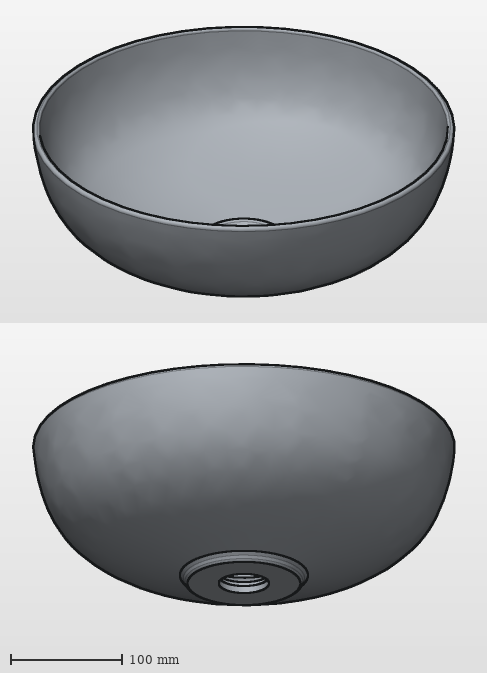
import cadquery as cq

rim_radius = 189.5
bowl_height = 136.0

rim_rounding = 3.5
rim_inner_radius = 183.5
rim_inner_rounding = 2.3

wall_foot = (181.5, 92.0)
corner_middle = (168.5, 64.5)
corner_end = (138.5, 38.0)
belly_middle = (102.7, 21.5)
belly_end = (57.5, 8.0)

foot_radius = 54.5
foot_collar_height = 5.0
foot_bottom_radius = 50.8
foot_rounding_middle = (52.0, 0.8)
foot_rounding_end = (53.0, 2.3)

inner_wall_foot = (173.0, 92.0)
inner_corner_middle = (159.5, 69.5)
inner_corner_end = (132.7, 48.5)
inner_belly_middle = (88.0, 30.5)

drain_hole_radius = 45.0 / 2
drain_entry = (38.0, 21.2)
seat_top = (35.0, 19.7)
seat_bottom = (24.3, 11.5)
drain_hole_top = 7.0

rounded_rim_height = bowl_height - rim_rounding
rim_flat_radius = rim_radius - rim_rounding


def half_section():
    """Closed radius-height outline of the basin wall."""
    outline = cq.Workplane("XZ").moveTo(drain_hole_radius, 0)

    outline = (
        outline.lineTo(foot_bottom_radius, 0)
        .threePointArc(foot_rounding_middle, foot_rounding_end)
        .lineTo(foot_radius, foot_collar_height)
        .lineTo(*belly_end)
        .spline(
            [belly_middle, corner_end, corner_middle, wall_foot, (rim_radius, rounded_rim_height)],
            includeCurrent=True,
        )
    )

    outline = (
        outline.radiusArc((rim_flat_radius, bowl_height), -rim_rounding)
        .lineTo(rim_inner_radius + rim_inner_rounding, bowl_height)
        .radiusArc((rim_inner_radius, bowl_height - rim_inner_rounding), -rim_inner_rounding)
    )

    return (
        outline.spline(
            [inner_wall_foot, inner_corner_middle, inner_corner_end, inner_belly_middle, drain_entry],
            includeCurrent=True,
        )
        .lineTo(*seat_top)
        .lineTo(*seat_bottom)
        .lineTo(drain_hole_radius, drain_hole_top)
        .close()
    )


result = half_section().revolve(360, (0, 0, 0), (0, 1, 0))